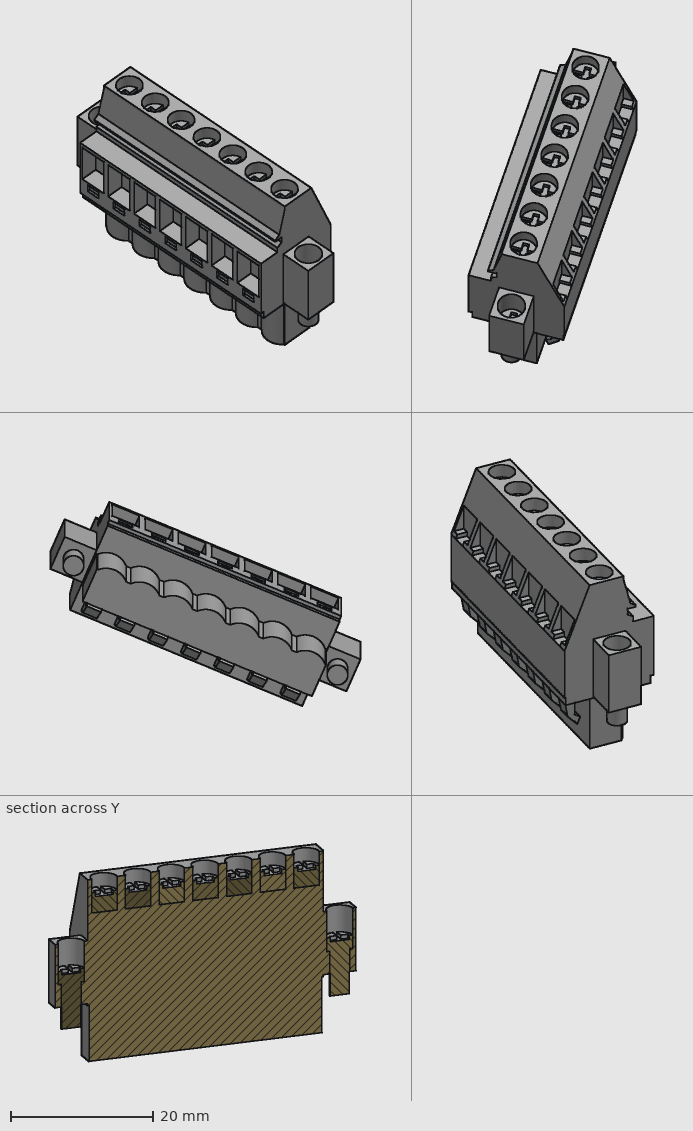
import cadquery as cq


POLE_COUNT = 7
PITCH = 5.08
POLE_CENTRES = [(i - (POLE_COUNT - 1) / 2) * PITCH for i in range(POLE_COUNT)]

BODY_LENGTH = POLE_COUNT * PITCH
BODY_DEPTH = 14.1
BODY_TOP = 27.1
BODY_BOTTOM = 8.35
STEP_Z = 9.55
FRONT_STEP = 0.55
BACK_STEP = 0.15
SHELF_Z = 19.25
BACK_SLOPE_Z = 17.3
ROOF_FRONT_Y = 4.8
ROOF_BACK_Y = 10.15
ROOF_EDGE_Z = 26.6
LIP_ROOT = (3.7, 22.35)
LIP_TIP_Y = 2.85
LIP_TOP_Z = 21.8
LIP_BOTTOM_Z = 21.55
GROOVE_Y = 4.15
GROOVE_BOTTOM_Z = 20.6
GROOVE_EDGE = (3.3, 20.1)

ENTRY_WIDTH = 4.2
ENTRY_BOTTOM = 12.5
ENTRY_TOP = 18.6
ENTRY_DEPTH = 2.7
TEST_SLOT_WIDTH = 2.15
TEST_SLOT_BOTTOM = 10.85
TEST_SLOT_TOP = 12.05
TEST_SLOT_DEPTH = 0.4

POCKET_WIDTH = 4.2
POCKET_FRONT_Y = 12.3
POCKET_FLOOR_Z = 17.95
NOTCH_WIDTH = 2.16
NOTCH_FLOOR_Z = BACK_SLOPE_Z

HOOK_WIDTH = NOTCH_WIDTH
HOOK_OUTER_ROOT_Y = 13.4
HOOK_OUTER_BEND = (12.85, 5.35)
HOOK_TIP = (11.35, 3.75)
HOOK_BARB = (10.9, 4.85)
HOOK_INNER_Y = 11.75
HOOK_INNER_BEND_Z = 5.4
HOOK_FILLET_START_Z = 7.1
HOOK_FILLET_MIDDLE = (11.6, 7.75)
HOOK_INNER_ROOT_Y = 11.3

SLEEVE_BAR_LENGTH = 35.15
SLEEVE_BACK_Y = 10.0
SLEEVE_BAR_FRONT_Y = 4.95
SLEEVE_FRONT_Y = 4.0
SLEEVE_WIDTH = 4.38

OVERALL_LENGTH = 45.36
FLANGE_LENGTH = (OVERALL_LENGTH - BODY_LENGTH) / 2
FLANGE_FRONT_Y = 4.5
FLANGE_BACK_Y = 9.6
FLANGE_BOTTOM = 8.6
FLANGE_TOP = 18.05
FLANGE_X = (BODY_LENGTH + FLANGE_LENGTH) / 2
FLANGE_Y = (FLANGE_FRONT_Y + FLANGE_BACK_Y) / 2

SCREW_SLOT_WIDTH = 0.62
SCREW_SLOT_DEPTH = 0.6
CROSS_SLOT_WIDTH = 0.85
CLAMP_SCREW_Y = 7.35
CLAMP_SCREW_DIAMETER = 3.8
CLAMP_SCREW_TOP = BODY_TOP - 2.0
CLAMP_SCREW_HEIGHT = 3.0
CLAMP_CROSS_LENGTH = 2.6
FLANGE_HEAD_DIAMETER = 3.9
FLANGE_HEAD_TOP = FLANGE_TOP - 4.0
FLANGE_HEAD_HEIGHT = 2.0
FLANGE_CROSS_LENGTH = 2.8
FLANGE_SHANK_DIAMETER = 2.9
FLANGE_SHANK_BOTTOM = 5.3


def block(x_centre, width, y_range, z_range):
    """Box centred on x_centre, spanning the given Y and Z ranges."""
    y0, y1 = y_range
    z0, z1 = z_range
    return cq.Workplane("XY").box(width, y1 - y0, z1 - z0).translate(
        (x_centre, (y0 + y1) / 2, (z0 + z1) / 2)
    )


def cylinder(x, y, diameter, z_bottom, z_top):
    """Upright cylinder between two heights."""
    return (
        cq.Workplane("XY", origin=(x, y, z_bottom))
        .circle(diameter / 2)
        .extrude(z_top - z_bottom)
    )


def main_body():
    """Constant section of the block, extruded along the row of poles."""
    outline = [
        (FRONT_STEP, BODY_BOTTOM),
        (FRONT_STEP, STEP_Z),
        (0, STEP_Z),
        (0, SHELF_Z),
        (GROOVE_EDGE[0], SHELF_Z),
        GROOVE_EDGE,
        (GROOVE_Y, GROOVE_BOTTOM_Z),
        (GROOVE_Y, LIP_BOTTOM_Z),
        (LIP_TIP_Y, LIP_BOTTOM_Z),
        (LIP_TIP_Y, LIP_TOP_Z),
        LIP_ROOT,
        (ROOF_FRONT_Y, ROOF_EDGE_Z),
        (ROOF_FRONT_Y, BODY_TOP),
        (ROOF_BACK_Y, BODY_TOP),
        (BODY_DEPTH, BACK_SLOPE_Z),
        (BODY_DEPTH, STEP_Z),
        (BODY_DEPTH - BACK_STEP, STEP_Z),
        (BODY_DEPTH - BACK_STEP, BODY_BOTTOM),
    ]
    section = cq.Workplane("YZ").polyline(outline).close()
    return section.extrude(BODY_LENGTH / 2, both=True)


def flange(x):
    """Block at one end of the body that carries a fixing screw."""
    return block(x, FLANGE_LENGTH, (FLANGE_FRONT_Y, FLANGE_BACK_Y), (FLANGE_BOTTOM, FLANGE_TOP))


def sleeve_bar():
    """Bar behind the contact sleeves that joins them together."""
    return block(0, SLEEVE_BAR_LENGTH, (SLEEVE_BAR_FRONT_Y, SLEEVE_BACK_Y), (0, BODY_BOTTOM))


def sleeve_front(x):
    """Bowed front of one contact sleeve."""
    half_width = SLEEVE_WIDTH / 2
    return (
        cq.Workplane("XY")
        .moveTo(x - half_width, SLEEVE_BACK_Y)
        .lineTo(x - half_width, SLEEVE_BAR_FRONT_Y)
        .threePointArc((x, SLEEVE_FRONT_Y), (x + half_width, SLEEVE_BAR_FRONT_Y))
        .lineTo(x + half_width, SLEEVE_BACK_Y)
        .close()
        .extrude(BODY_BOTTOM)
    )


def latch_hook(x):
    """Forward-pointing latch hook hanging below the back edge."""
    return (
        cq.Workplane("YZ", origin=(x, 0, 0))
        .moveTo(HOOK_OUTER_ROOT_Y, BODY_BOTTOM)
        .lineTo(*HOOK_OUTER_BEND)
        .lineTo(*HOOK_TIP)
        .lineTo(*HOOK_BARB)
        .lineTo(HOOK_INNER_Y, HOOK_INNER_BEND_Z)
        .lineTo(HOOK_INNER_Y, HOOK_FILLET_START_Z)
        .threePointArc(HOOK_FILLET_MIDDLE, (HOOK_INNER_ROOT_Y, BODY_BOTTOM))
        .close()
        .extrude(HOOK_WIDTH / 2, both=True)
    )


def front_openings(x):
    """Wire entry of one pole and the shallow test slot below it."""
    entry = block(x, ENTRY_WIDTH, (0, ENTRY_DEPTH), (ENTRY_BOTTOM, ENTRY_TOP))
    test_slot = block(
        x, TEST_SLOT_WIDTH, (0, TEST_SLOT_DEPTH), (TEST_SLOT_BOTTOM, TEST_SLOT_TOP)
    )
    return entry.union(test_slot)


def back_pocket(x):
    """Pocket in the back slope with a notch in the middle of its floor."""
    y_range = (POCKET_FRONT_Y, BODY_DEPTH)
    pocket = block(x, POCKET_WIDTH, y_range, (POCKET_FLOOR_Z, BODY_TOP))
    notch = block(x, NOTCH_WIDTH, y_range, (NOTCH_FLOOR_Z, BODY_TOP))
    return pocket.union(notch)


def cross_recess(x, y, diameter, cross_length, z_top):
    """Full-width driver slot crossed by a shorter, wider slot."""
    z_range = (z_top - SCREW_SLOT_DEPTH, z_top)
    half_slot = diameter / 2
    half_cross = CROSS_SLOT_WIDTH / 2
    slot = block(x, SCREW_SLOT_WIDTH, (y - half_slot, y + half_slot), z_range)
    cross = block(x, cross_length, (y - half_cross, y + half_cross), z_range)
    return slot.union(cross)


def clamp_screw_blank(x, z_top):
    """Cylinder of a clamping screw reaching up to z_top."""
    z_bottom = CLAMP_SCREW_TOP - CLAMP_SCREW_HEIGHT
    return cylinder(x, CLAMP_SCREW_Y, CLAMP_SCREW_DIAMETER, z_bottom, z_top)


def clamp_screw(x):
    """Clamping screw of one pole."""
    recess = cross_recess(
        x, CLAMP_SCREW_Y, CLAMP_SCREW_DIAMETER, CLAMP_CROSS_LENGTH, CLAMP_SCREW_TOP
    )
    return clamp_screw_blank(x, CLAMP_SCREW_TOP).cut(recess)


def flange_screw_blank(x, z_top):
    """Shank and head of a flange screw, the head reaching up to z_top."""
    head_bottom = FLANGE_HEAD_TOP - FLANGE_HEAD_HEIGHT
    head = cylinder(x, FLANGE_Y, FLANGE_HEAD_DIAMETER, head_bottom, z_top)
    shank = cylinder(x, FLANGE_Y, FLANGE_SHANK_DIAMETER, FLANGE_SHANK_BOTTOM, head_bottom)
    return head.union(shank)


def flange_screw(x):
    """Fixing screw of one flange."""
    recess = cross_recess(
        x, FLANGE_Y, FLANGE_HEAD_DIAMETER, FLANGE_CROSS_LENGTH, FLANGE_HEAD_TOP
    )
    return flange_screw_blank(x, FLANGE_HEAD_TOP).cut(recess)


def make_housing():
    """Housing with flanges, sleeves, hooks and all screw holes."""
    housing = main_body().union(sleeve_bar())
    for x in POLE_CENTRES:
        housing = housing.union(sleeve_front(x)).union(latch_hook(x))
        housing = housing.cut(front_openings(x)).cut(back_pocket(x))
        housing = housing.cut(clamp_screw_blank(x, BODY_TOP))
    for x in (-FLANGE_X, FLANGE_X):
        housing = housing.union(flange(x)).cut(flange_screw_blank(x, FLANGE_TOP))
    return housing


housing = make_housing()
clamp_screws = [clamp_screw(x) for x in POLE_CENTRES]
flange_screws = [flange_screw(x) for x in (-FLANGE_X, FLANGE_X)]

result = cq.Compound.makeCompound(
    [
        housing.val(),
        *[screw.val() for screw in clamp_screws],
        *[screw.val() for screw in flange_screws],
    ]
)